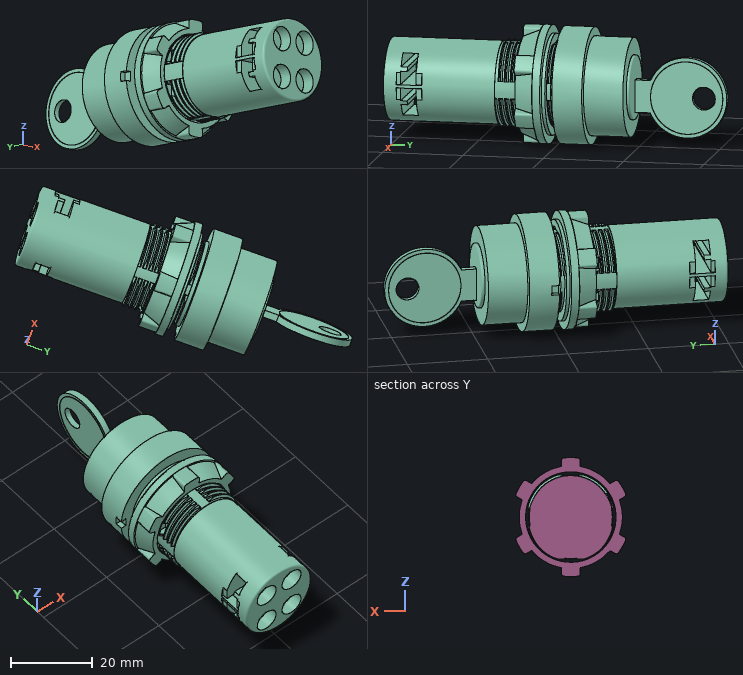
import cadquery as cq
import math


FULL_TURN = 360.0

BEZEL_RADIUS = 14.5
BEZEL_LENGTH = 7.45
HEAD_RADIUS = 12.25
HEAD_FRONT_Y = 17.25
CAP_RADIUS = 7.95
CAP_THICKNESS = 0.8
CAP_FILLET = 0.3
BEZEL_NOTCH_WIDTH = 2.4
BEZEL_NOTCH_LENGTH = 1.9
BEZEL_NOTCH_DEPTH = 1.5

KEY_RADIUS = 10.0
KEY_THICKNESS = 1.8
KEY_CENTRE_Y = 30.87
KEY_CENTRE_Z = -2.05
KEY_NECK_WIDTH = 8.1
KEY_RECESS_RADIUS = 9.0
KEY_RECESS_DEPTH = 0.1
KEY_HOLE_RADIUS = 2.8
KEY_HOLE_OFFSET = 4.25

BARREL_RADIUS = 10.3
BARREL_END_Y = -42.93
BARREL_FILLET = 0.6
COLLAR_RADIUS = 10.95
COLLAR_LENGTH = 1.0

THREAD_CORE_RADIUS = 10.2
THREAD_CREST_RADIUS = 10.8
THREAD_PITCH = 1.5
THREAD_END_Y = -15.1
THREAD_BASE_WIDTH = 1.4
THREAD_CREST_WIDTH = 0.3
THREAD_ROOT_OVERLAP = 0.3
THREAD_START_Y = -0.2
THREAD_TURNS = 11
THREAD_EMBED = 0.3
THREAD_FLAT_Z = 10.3
SIDE_KEYWAY_WIDTH = 4.2
TOP_KEYWAY_WIDTH = 2.7
POCKET_INNER_Z = 2.7
POCKET_OUTER_Z = 5.7
POCKET_FLOOR_X = 8.0
POCKET_END_Y = -11.0

NUT_SEAT_Y = -2.15
NUT_SEAT_RADIUS = 12.5
NUT_FLANGE_Y = -3.0
NUT_RADIUS = 14.65
NUT_LOBE_START_Y = -5.0
NUT_END_Y = -9.6
NUT_CONE_START_RADIUS = 14.2
NUT_CONE_END_RADIUS = 12.35
NUT_RELIEF_RADIUS = 11.0
NUT_RELIEF_DEPTH = 1.0
LOBE_COUNT = 6
LOBE_WIDTH = 4.7
LOBE_RADIUS = 14.6
LOBE_CORNER_RADIUS = 0.7

WINDOW_FRONT_Y = -34.75
WINDOW_REAR_Y = -38.6
WINDOW_HALF_HEIGHT = 7.7
WINDOW_RIB_THICKNESS = 0.8
WINDOW_TAB_LENGTH = 1.6
WINDOW_TAB_INNER_Z = 3.65
WINDOW_TAB_OUTER_Z = 4.7
RECESS_FRONT_Y = -33.3
RECESS_REAR_Y = -39.6
RECESS_HALF_HEIGHT = WINDOW_TAB_INNER_Z
RECESS_FLOOR_X = 9.75
TERMINAL_HOLE_RADIUS = 3.0
TERMINAL_HOLE_X = 3.95
TERMINAL_HOLE_Z = 4.7
TERMINAL_HOLE_DEPTH = 3.3


def disc(radius, front_y, rear_y):
    """Cylinder on the Y axis between two Y positions."""
    return cq.Workplane("XZ", origin=(0, front_y, 0)).circle(radius).extrude(front_y - rear_y)


def block(x_range, y_range, z_range):
    """Box given by its two limits along each axis."""
    limits = [sorted(pair) for pair in (x_range, y_range, z_range)]
    sizes = [high - low for low, high in limits]
    corner = tuple(low for low, high in limits)
    return cq.Workplane("XY", origin=corner).box(*sizes, centered=False)


def front_housing():
    cap_front_y = HEAD_FRONT_Y + CAP_THICKNESS
    cap = disc(CAP_RADIUS, cap_front_y, HEAD_FRONT_Y).faces(">Y").fillet(CAP_FILLET)
    head = disc(HEAD_RADIUS, HEAD_FRONT_Y, BEZEL_LENGTH)
    bezel = disc(BEZEL_RADIUS, BEZEL_LENGTH, 0)
    notch = block(
        (-BEZEL_RADIUS, BEZEL_NOTCH_DEPTH - BEZEL_RADIUS),
        (0, BEZEL_NOTCH_LENGTH),
        (-BEZEL_NOTCH_WIDTH / 2, BEZEL_NOTCH_WIDTH / 2),
    )
    return bezel.cut(notch).union(head).union(cap)


def key():
    half_thickness = KEY_THICKNESS / 2

    def key_disc(radius, offset_y, x_start, thickness):
        plane = cq.Workplane("YZ", origin=(x_start, KEY_CENTRE_Y + offset_y, KEY_CENTRE_Z))
        return plane.circle(radius).extrude(thickness)

    neck = block(
        (-half_thickness, half_thickness),
        (HEAD_FRONT_Y, KEY_CENTRE_Y),
        (KEY_CENTRE_Z - KEY_NECK_WIDTH / 2, KEY_CENTRE_Z + KEY_NECK_WIDTH / 2),
    )
    blade = key_disc(KEY_RADIUS, 0, -half_thickness, KEY_THICKNESS).union(neck)
    for recess_start in (-half_thickness, half_thickness - KEY_RECESS_DEPTH):
        blade = blade.cut(key_disc(KEY_RECESS_RADIUS, 0, recess_start, KEY_RECESS_DEPTH))
    return blade.cut(key_disc(KEY_HOLE_RADIUS, KEY_HOLE_OFFSET, -half_thickness, KEY_THICKNESS))


def thread_segment(start_angle, span, start_y):
    """Piece of right-handed helical ridge, angles measured from +X towards +Z."""
    root_radius = THREAD_CORE_RADIUS - THREAD_ROOT_OVERLAP
    helix = cq.Wire.makeHelix(THREAD_PITCH, THREAD_PITCH * span / FULL_TURN, root_radius)
    profile = (
        cq.Workplane("XZ")
        .polyline([
            (root_radius, -THREAD_BASE_WIDTH / 2),
            (THREAD_CREST_RADIUS, -THREAD_CREST_WIDTH / 2),
            (THREAD_CREST_RADIUS, THREAD_CREST_WIDTH / 2),
            (root_radius, THREAD_BASE_WIDTH / 2),
        ])
        .close()
    )
    segment = profile.sweep(cq.Workplane(helix), isFrenet=True)
    segment = segment.rotate((0, 0, 0), (0, 0, 1), start_angle)
    return segment.rotate((0, 0, 0), (1, 0, 0), 90).translate((0, start_y, 0))


def threaded_section():
    """Threaded core whose ridge is interrupted by four keyways."""
    section = disc(THREAD_CORE_RADIUS, 0, THREAD_END_Y)
    side_half_angle = math.degrees(math.asin(SIDE_KEYWAY_WIDTH / 2 / THREAD_CORE_RADIUS))
    top_half_angle = math.degrees(math.asin(TOP_KEYWAY_WIDTH / 2 / THREAD_CORE_RADIUS))
    span = FULL_TURN / 4 - side_half_angle - top_half_angle
    start_angles = (
        side_half_angle,
        FULL_TURN / 4 + top_half_angle,
        FULL_TURN / 2 + side_half_angle,
        FULL_TURN * 3 / 4 + top_half_angle,
    )
    visible_bands = (
        (-COLLAR_LENGTH + THREAD_EMBED, NUT_SEAT_Y - THREAD_EMBED),
        (NUT_END_Y + NUT_RELIEF_DEPTH + THREAD_EMBED, THREAD_END_Y),
    )
    crest_range = (-COLLAR_RADIUS, COLLAR_RADIUS)
    flat_range = (-THREAD_FLAT_Z, THREAD_FLAT_Z)
    for start_angle in start_angles:
        for turn in range(THREAD_TURNS):
            start_y = THREAD_START_Y - THREAD_PITCH * (turn + start_angle / FULL_TURN)
            end_y = start_y - THREAD_PITCH * span / FULL_TURN
            for front_y, rear_y in visible_bands:
                if start_y > rear_y and end_y < front_y:
                    segment = thread_segment(start_angle, span, start_y)
                    limit = block(crest_range, (front_y, rear_y), flat_range)
                    segment = segment.intersect(limit, clean=False)
                    section = section.union(segment, clean=False)
    for side in (-1, 1):
        pocket = block(
            (-POCKET_FLOOR_X, -COLLAR_RADIUS),
            (NUT_END_Y + NUT_RELIEF_DEPTH / 2, POCKET_END_Y),
            (side * POCKET_INNER_Z, side * POCKET_OUTER_Z),
        )
        section = section.cut(pocket, clean=False)
    return section.union(disc(COLLAR_RADIUS, 0, -COLLAR_LENGTH), clean=False)


def grip_lobe(angle):
    """Axial bar with rounded outer corners, turned about the Y axis."""
    lobe_front_y = (NUT_FLANGE_Y + NUT_LOBE_START_Y) / 2
    bar = block(
        (-LOBE_WIDTH / 2, LOBE_WIDTH / 2),
        (lobe_front_y, NUT_END_Y),
        (NUT_RELIEF_RADIUS, LOBE_RADIUS),
    )
    bar = bar.intersect(disc(LOBE_RADIUS, lobe_front_y, NUT_END_Y))
    bar = bar.edges("|Y and (not <Z)").edges(">Z").fillet(LOBE_CORNER_RADIUS)
    return bar.rotate((0, 0, 0), (0, 1, 0), angle)


def ring_nut():
    """Nut with a round flange and six grip lobes rising from a conical back."""
    nut = (
        cq.Workplane("XY")
        .polyline([
            (0, NUT_SEAT_Y),
            (NUT_SEAT_RADIUS, NUT_SEAT_Y),
            (NUT_SEAT_RADIUS, NUT_FLANGE_Y),
            (NUT_RADIUS, NUT_FLANGE_Y),
            (NUT_RADIUS, NUT_LOBE_START_Y),
            (NUT_CONE_START_RADIUS, NUT_LOBE_START_Y),
            (NUT_CONE_END_RADIUS, NUT_END_Y),
            (0, NUT_END_Y),
        ])
        .close()
        .revolve(FULL_TURN, (0, 0, 0), (0, 1, 0))
    )
    for index in range(LOBE_COUNT):
        nut = nut.union(grip_lobe(index * FULL_TURN / LOBE_COUNT))
    return nut.cut(disc(NUT_RELIEF_RADIUS, NUT_END_Y + NUT_RELIEF_DEPTH, NUT_END_Y))


def terminal_barrel():
    barrel = disc(BARREL_RADIUS, THREAD_END_Y, BARREL_END_Y).faces("<Y").fillet(BARREL_FILLET)
    full_width = (-BARREL_RADIUS, BARREL_RADIUS)
    half_rib = WINDOW_RIB_THICKNESS / 2
    rib = block(full_width, (RECESS_FRONT_Y, RECESS_REAR_Y), (-half_rib, half_rib))
    for side in (-1, 1):
        window = block(
            full_width,
            (WINDOW_FRONT_Y, WINDOW_REAR_Y),
            (side * half_rib, side * WINDOW_HALF_HEIGHT),
        )
        tab = block(
            full_width,
            (WINDOW_REAR_Y, WINDOW_REAR_Y + WINDOW_TAB_LENGTH),
            (side * WINDOW_TAB_INNER_Z, side * WINDOW_TAB_OUTER_Z),
        )
        recess = block(
            (side * RECESS_FLOOR_X, side * BARREL_RADIUS),
            (RECESS_FRONT_Y, RECESS_REAR_Y),
            (-RECESS_HALF_HEIGHT, RECESS_HALF_HEIGHT),
        )
        barrel = barrel.cut(window.cut(tab)).cut(recess.cut(rib))
    holes = (
        cq.Workplane("XZ", origin=(0, BARREL_END_Y + TERMINAL_HOLE_DEPTH, 0))
        .rect(2 * TERMINAL_HOLE_X, 2 * TERMINAL_HOLE_Z, forConstruction=True)
        .vertices()
        .circle(TERMINAL_HOLE_RADIUS)
        .extrude(TERMINAL_HOLE_DEPTH)
    )
    return barrel.cut(holes)


result = (
    front_housing()
    .union(key())
    .union(ring_nut())
    .union(terminal_barrel())
    .union(threaded_section(), clean=False)
)